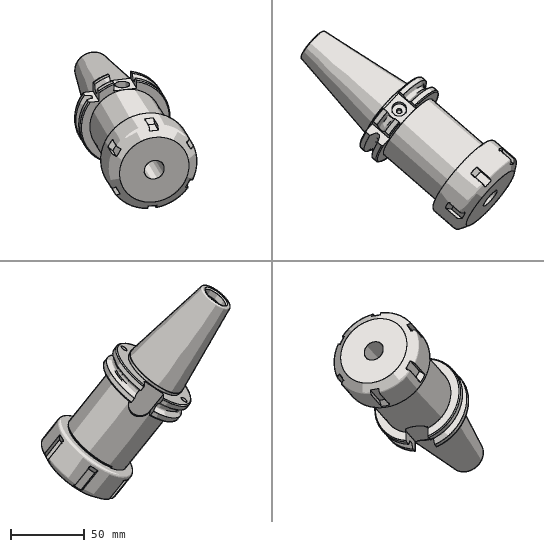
import cadquery as cq
import math


TOTAL_LENGTH = 163.1

TAPER_LENGTH = 68.8
TAPER_RATIO = 7 / 24
GAUGE_RADIUS = 44.45 / 2
TAPER_END_RADIUS = GAUGE_RADIUS - TAPER_LENGTH * TAPER_RATIO / 2
TAPER_END_ROUNDING = 1.1
GAUGE_LAND = 0.6
UNDERCUT_RADIUS = 21.75

FLANGE_START = 71.6
FLANGE_WIDTH = 15.9
FLANGE_END = FLANGE_START + FLANGE_WIDTH
FLANGE_RADIUS = 63.55 / 2
FLANGE_CHAMFER = 0.8
GROOVE_CENTER = FLANGE_START + 7.9
GROOVE_FLOOR_RADIUS = 56.25 / 2
GROOVE_FLOOR_WIDTH = 3.0
GROOVE_CORNER_ROUNDING = 1.0
GROOVE_HALF_ANGLE = 30.0
GROOVE_DEPTH = FLANGE_RADIUS - GROOVE_FLOOR_RADIUS
GROOVE_FLOOR_HALF = GROOVE_FLOOR_WIDTH / 2
GROOVE_TOP_HALF = GROOVE_FLOOR_HALF + GROOVE_DEPTH * math.tan(math.radians(GROOVE_HALF_ANGLE))

DRIVE_SLOT_WIDTH = 16.1
UPPER_SLOT_FLOOR = 25.0
LOWER_SLOT_FLOOR = 22.8
NOTCH_OFFSET = 18.5

CHIP_POCKET_DIAMETER = 10.0
CHIP_POCKET_DEPTH = 4.6
CHIP_DRILL_DIAMETER = 3.6
CHIP_DRILL_DEPTH = 4.0

COOLANT_DIAMETER = 4.8
COOLANT_CIRCLE_RADIUS = 27.0
COOLANT_ANGLE = 20.0
COOLANT_DEPTH = 9.4

BODY_RADIUS = 25.0

RELIEF_DEPTH = 1.0
RELIEF_LENGTH = 1.4
RELIEF_START_ANGLE = 41.0
RELIEF_SPAN = 160.0

BORE_RADIUS = 7.0
PILOT_RADIUS = 8.5
PILOT_DEPTH = 5.5
PILOT_MOUTH_RADIUS = 9.5
PILOT_CONE_HALF_ANGLE = 30.0

NUT_START = 137.7
NUT_RADIUS = 31.5
NUT_BACK_FILLET = 2.0
NUT_FRONT_FILLET = 2.3
NUT_CONE_ANGLE = 60.0
NUT_FACE_RADIUS = 24.5
NUT_CONE_LENGTH = (NUT_RADIUS - NUT_FACE_RADIUS) / math.tan(math.radians(NUT_CONE_ANGLE))
NUT_TURN = -1.0

WRENCH_SLOT_COUNT = 6
WRENCH_SLOT_WIDTH = 6.2
WRENCH_SLOT_FLOOR = 28.5
WRENCH_SLOT_RAMP = 3.7
SHORT_SLOT_START = 147.4
LONG_SLOT_START = 141.1

DRILL_TIP_HALF_ANGLE = 59.0
CLEARANCE = 5.0


def revolve_about_x(profile):
    return profile.close().revolve(360, (0, 0, 0), (1, 0, 0))


def make_holder_blank():
    """Taper, undercut, grooved flange and cylindrical body in one turned shape."""
    rounding_root_radius = TAPER_END_RADIUS + TAPER_END_ROUNDING * TAPER_RATIO / 2
    rounding_face_radius = rounding_root_radius - TAPER_END_ROUNDING

    groove_angle = math.radians(GROOVE_HALF_ANGLE)
    setback = GROOVE_CORNER_ROUNDING * math.tan(math.pi / 4 - groove_angle / 2)
    floor_tangent = GROOVE_FLOOR_HALF - setback
    wall_tangent = GROOVE_FLOOR_HALF + setback * math.sin(groove_angle)
    wall_tangent_radius = GROOVE_FLOOR_RADIUS + setback * math.cos(groove_angle)

    profile = (
        cq.Workplane("XZ")
        .lineTo(0, rounding_face_radius)
        .radiusArc((TAPER_END_ROUNDING, rounding_root_radius), TAPER_END_ROUNDING)
        .lineTo(TAPER_LENGTH, GAUGE_RADIUS)
        .lineTo(TAPER_LENGTH + GAUGE_LAND, GAUGE_RADIUS)
        .lineTo(TAPER_LENGTH + GAUGE_LAND, UNDERCUT_RADIUS)
        .lineTo(FLANGE_START, UNDERCUT_RADIUS)
        .lineTo(FLANGE_START, FLANGE_RADIUS - FLANGE_CHAMFER)
        .lineTo(FLANGE_START + FLANGE_CHAMFER, FLANGE_RADIUS)
        .lineTo(GROOVE_CENTER - GROOVE_TOP_HALF, FLANGE_RADIUS)
        .lineTo(GROOVE_CENTER - wall_tangent, wall_tangent_radius)
        .radiusArc((GROOVE_CENTER - floor_tangent, GROOVE_FLOOR_RADIUS), -GROOVE_CORNER_ROUNDING)
        .lineTo(GROOVE_CENTER + floor_tangent, GROOVE_FLOOR_RADIUS)
        .radiusArc((GROOVE_CENTER + wall_tangent, wall_tangent_radius), -GROOVE_CORNER_ROUNDING)
        .lineTo(GROOVE_CENTER + GROOVE_TOP_HALF, FLANGE_RADIUS)
        .lineTo(FLANGE_END - FLANGE_CHAMFER, FLANGE_RADIUS)
        .lineTo(FLANGE_END, FLANGE_RADIUS - FLANGE_CHAMFER)
        .lineTo(FLANGE_END, BODY_RADIUS)
        .lineTo(NUT_START, BODY_RADIUS)
        .lineTo(NUT_START, 0)
    )
    return revolve_about_x(profile)


def make_body_relief():
    """Shallow partial ring cut into the body where it meets the nut."""
    outer = BODY_RADIUS + CLEARANCE
    relief_start = NUT_START - RELIEF_LENGTH
    return (
        cq.Workplane("XY")
        .moveTo(relief_start, outer)
        .lineTo(relief_start, BODY_RADIUS)
        .lineTo(relief_start + RELIEF_DEPTH, BODY_RADIUS - RELIEF_DEPTH)
        .lineTo(NUT_START, BODY_RADIUS - RELIEF_DEPTH)
        .lineTo(NUT_START, outer)
        .close()
        .revolve(RELIEF_SPAN, (0, 0, 0), (1, 0, 0))
        .rotate((0, 0, 0), (1, 0, 0), RELIEF_START_ANGLE - RELIEF_SPAN)
    )


def make_holder_bore():
    """Through bore with a wider pilot and a 45 degree mouth at the taper end."""
    mouth_depth = PILOT_MOUTH_RADIUS - PILOT_RADIUS
    cone_length = (PILOT_RADIUS - BORE_RADIUS) / math.tan(math.radians(PILOT_CONE_HALF_ANGLE))
    profile = (
        cq.Workplane("XY")
        .lineTo(0, PILOT_MOUTH_RADIUS)
        .lineTo(mouth_depth, PILOT_RADIUS)
        .lineTo(PILOT_DEPTH, PILOT_RADIUS)
        .lineTo(PILOT_DEPTH + cone_length, BORE_RADIUS)
        .lineTo(NUT_START, BORE_RADIUS)
        .lineTo(NUT_START, 0)
    )
    return revolve_about_x(profile)


def make_drive_slot(floor, side):
    """Slot open toward -X with a round end past the flange; side is +1 (up) or -1 (down)."""
    half_width = DRIVE_SLOT_WIDTH / 2
    slot_start = FLANGE_START - CLEARANCE
    return (
        cq.Workplane("XY")
        .workplane(offset=side * floor)
        .moveTo(slot_start, -half_width)
        .lineTo(FLANGE_END, -half_width)
        .threePointArc((FLANGE_END + half_width, 0), (FLANGE_END, half_width))
        .lineTo(slot_start, half_width)
        .close()
        .extrude(side * (FLANGE_RADIUS + CLEARANCE - floor))
    )


def make_orientation_notch():
    """Square corner cut through the flange on its -Y, +Z side."""
    return cq.Workplane("XY").box(
        FLANGE_END - FLANGE_START, FLANGE_RADIUS, FLANGE_RADIUS, centered=False
    ).translate((FLANGE_START, -NOTCH_OFFSET - FLANGE_RADIUS, NOTCH_OFFSET))


def make_drill(diameter, depth):
    """Drill with a conical tip, pointing along +X from the origin."""
    radius = diameter / 2
    tip_length = radius / math.tan(math.radians(DRILL_TIP_HALF_ANGLE))
    profile = (
        cq.Workplane("XY")
        .lineTo(0, radius)
        .lineTo(depth, radius)
        .lineTo(depth + tip_length, 0)
    )
    return revolve_about_x(profile)


def make_chip_pocket():
    pocket_floor = UPPER_SLOT_FLOOR - CHIP_POCKET_DEPTH
    pocket = (
        cq.Workplane("XY", origin=(GROOVE_CENTER, 0, pocket_floor))
        .circle(CHIP_POCKET_DIAMETER / 2)
        .extrude(CHIP_POCKET_DEPTH)
    )
    drill = (
        make_drill(CHIP_DRILL_DIAMETER, CHIP_DRILL_DEPTH)
        .rotate((0, 0, 0), (0, 1, 0), 90)
        .translate((GROOVE_CENTER, 0, pocket_floor))
    )
    return pocket.union(drill)


def make_coolant_hole(angle):
    return (
        make_drill(COOLANT_DIAMETER, COOLANT_DEPTH)
        .translate((FLANGE_START, COOLANT_CIRCLE_RADIUS, 0))
        .rotate((0, 0, 0), (1, 0, 0), angle)
    )


def make_holder():
    holder = make_holder_blank()
    holder = holder.cut(make_holder_bore())
    holder = holder.cut(make_body_relief())
    holder = holder.cut(make_drive_slot(UPPER_SLOT_FLOOR, 1))
    holder = holder.cut(make_drive_slot(LOWER_SLOT_FLOOR, -1))
    holder = holder.cut(make_orientation_notch())
    holder = holder.cut(make_chip_pocket())
    for half_turn in (0, 180):
        holder = holder.cut(make_coolant_hole(COOLANT_ANGLE + half_turn))
    return holder


def make_nut_blank():
    """Ring with a rounded back edge and a rounded transition into the front cone."""
    cone_start = TOTAL_LENGTH - NUT_CONE_LENGTH
    cone_angle = math.radians(NUT_CONE_ANGLE)
    fillet_setback = NUT_FRONT_FILLET * math.tan(cone_angle / 2)
    fillet_start = cone_start - fillet_setback
    fillet_end = (
        cone_start + fillet_setback * math.cos(cone_angle),
        NUT_RADIUS - fillet_setback * math.sin(cone_angle),
    )
    back_fillet_end = (NUT_START + NUT_BACK_FILLET, NUT_RADIUS)
    profile = (
        cq.Workplane("XY")
        .moveTo(NUT_START, BORE_RADIUS)
        .lineTo(NUT_START, NUT_RADIUS - NUT_BACK_FILLET)
        .radiusArc(back_fillet_end, NUT_BACK_FILLET)
        .lineTo(fillet_start, NUT_RADIUS)
        .radiusArc(fillet_end, NUT_FRONT_FILLET)
        .lineTo(TOTAL_LENGTH, NUT_FACE_RADIUS)
        .lineTo(TOTAL_LENGTH, BORE_RADIUS)
    )
    return revolve_about_x(profile)


def make_wrench_slot(angle, start):
    """Slot with a ramp at its closed end, open toward +X."""
    outer = NUT_RADIUS + CLEARANCE
    return (
        cq.Workplane("XZ")
        .moveTo(start + WRENCH_SLOT_RAMP, WRENCH_SLOT_FLOOR)
        .lineTo(start, NUT_RADIUS)
        .lineTo(start, outer)
        .lineTo(TOTAL_LENGTH, outer)
        .lineTo(TOTAL_LENGTH, WRENCH_SLOT_FLOOR)
        .close()
        .extrude(WRENCH_SLOT_WIDTH / 2, both=True)
        .rotate((0, 0, 0), (1, 0, 0), angle)
    )


def make_nut():
    """Clamping nut; the slots on its upper half are short, those on its lower half long."""
    nut = make_nut_blank()
    for index in range(WRENCH_SLOT_COUNT):
        angle = index * 360 / WRENCH_SLOT_COUNT
        is_upper = math.cos(math.radians(angle)) > 0
        start = SHORT_SLOT_START if is_upper else LONG_SLOT_START
        nut = nut.cut(make_wrench_slot(angle, start))
    return nut.rotate((0, 0, 0), (1, 0, 0), NUT_TURN)


holder = make_holder()
nut = make_nut()
result = cq.Compound.makeCompound([holder.val(), nut.val()])